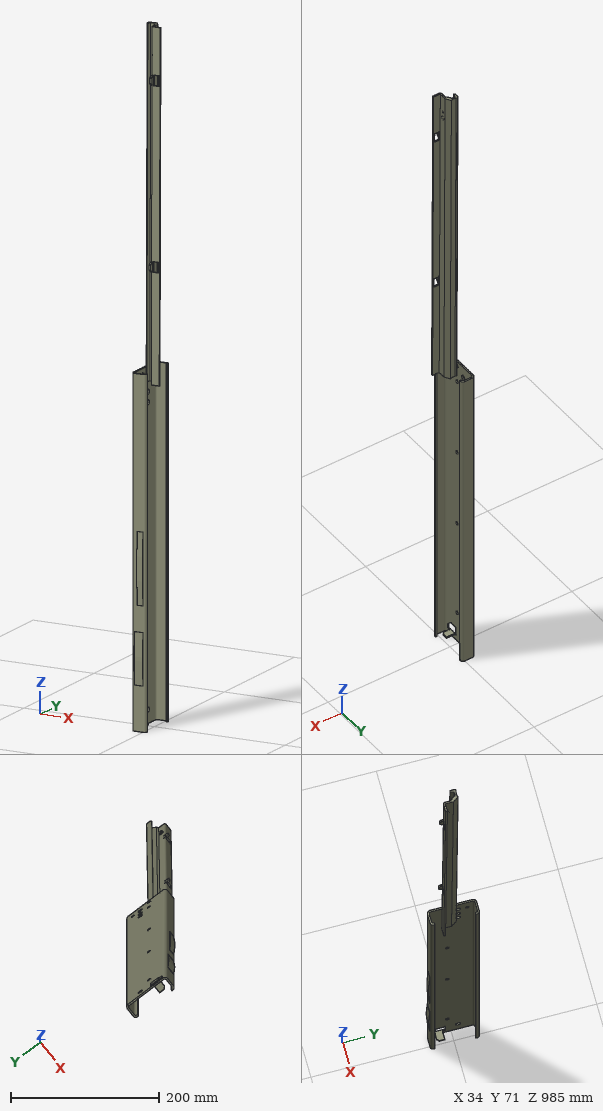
import cadquery as cq
import math

total_length = 985.0
member_length = 501.0
sheet = 2.5

channel_width = 69.0
channel_depth = 22.0
channel_bend = 5.0
lip_length = 6.0
lip_round = 4.0
inner_round = 3.0

hole_diameter = 7.0
hole_y = 43.0
hole_heights = [20.0, 450.0, 465.0, 483.0]
pilot_diameter = 5.0
pilot_y = 29.0
pilot_heights = [50.0, 211.0, 338.0, 465.0, 492.5]
side_pilot = (56.0, 482.0)

window_y = 6.0
window_z = 8.0
window_width = 20.0
window_height = 14.0
window_chamfer = 8.0
tab_y = 11.0
tab_width = 11.0
tab_reach = 15.0
tab_corner = 3.0
tab_bend = 2.0

ramp_step = 0.5
ramp_rise = 1.5
ramp_length = 34.0
long_ramp_foot = 177.0
long_ramp_flat = 34.0
long_ramp_x = 9.0
short_ramp_foot = 65.0
short_ramp_flat = 6.0

rail_tilt = 0.3
rail_foot_y = 15.0
rail_height = 22.0
rail_tip_x = 7.0
rail_web_x = 24.0
rail_edge_x = 34.0
rail_sheet = 2.5
head_height = 9.0
rail_bend = 3.0
head_round = 2.0
groove_depth = 1.0
groove_floor_width = 5.0
groove_side = 1.5
shoulder_x = 19.0
shoulder_drop = 8.0

hook_heights = [649.0, 910.0]
hook_window_height = 15.0
hook_window_width = 8.0
hook_window_gap = 1.0
hook_height = 13.0
hook_reach = 5.0
hook_chamfer = 3.0

dimple_depth = 1.0
dimple_y = 7.0
dimples = [(945.0, 6.0), (955.0, 3.0)]


def block(x, y, z, size_x, size_y, size_z):
    """Box whose lowest corner lies at (x, y, z)."""
    return cq.Workplane("XY").box(size_x, size_y, size_z, centered=False).translate((x, y, z))


def channel_section():
    """C-shaped sheet section with two lips turned inwards."""
    solid = block(0, 0, 0, channel_depth, channel_width, member_length)
    solid = solid.edges("|Z and <X").fillet(channel_bend)
    solid = solid.edges("|Z and >X").fillet(lip_round)
    inner_width = channel_width - 2 * sheet
    inner_depth = channel_depth - 2 * sheet
    cavity = block(sheet, sheet, 0, inner_depth, inner_width, member_length)
    cavity = cavity.edges("|Z").fillet(inner_round)
    mouth_width = channel_width - 2 * lip_length
    mouth = block(channel_depth / 2, lip_length, 0, channel_depth, mouth_width, member_length)
    return solid.cut(cavity).cut(mouth)


def web_holes(centres, diameter):
    """Cutters through the channel web along X."""
    return (
        cq.Workplane("YZ").pushPoints(centres).circle(diameter / 2).extrude(2 * sheet)
        .translate((-sheet / 2, 0, 0))
    )


def stop_window():
    """Window cutter with one bevelled corner and a rounded lower edge where the tab bends in."""
    window = block(-sheet, window_y, window_z, 3 * sheet, window_width, window_height)
    window = window.edges("|X and >Z and <Y").chamfer(window_chamfer)
    bend = block(0, window_y, window_z - tab_bend, tab_bend, window_width, tab_bend)
    roll = cq.Workplane("XZ").center(tab_bend, window_z - tab_bend).circle(tab_bend)
    roll = roll.extrude(-channel_width)
    return window.union(bend.cut(roll))


def stop_tab():
    """Tab standing in from the window's lower edge."""
    tab = block(0, tab_y, window_z - sheet, tab_reach, tab_width, sheet)
    return tab.edges("|Z and >X and <Y").chamfer(tab_corner)


def flange_ramp(foot, flat, x_start, x_end):
    """Pad on the -Y flange: a small step, a ramp up, a flat crest and a ramp down along Z."""
    embed = sheet / 2
    top = foot + 2 * ramp_length + flat
    crest = -ramp_step - ramp_rise
    outline = [
        (embed, foot),
        (-ramp_step, foot),
        (crest, foot + ramp_length),
        (crest, foot + ramp_length + flat),
        (-ramp_step, top),
        (embed, top),
    ]
    ramp = cq.Workplane("YZ").polyline(outline).close().extrude(x_end - x_start)
    return ramp.translate((x_start, 0, 0))


def make_channel():
    """Outer channel with its holes, stop and flange ramps."""
    flat_end = channel_depth - lip_round
    channel = channel_section()
    channel = channel.cut(web_holes([(hole_y, z) for z in hole_heights], hole_diameter))
    pilots = [(pilot_y, z) for z in pilot_heights] + [side_pilot]
    channel = channel.cut(web_holes(pilots, pilot_diameter))
    channel = channel.union(stop_tab()).cut(stop_window())
    channel = channel.union(flange_ramp(long_ramp_foot, long_ramp_flat, long_ramp_x, flat_end))
    return channel.union(flange_ramp(short_ramp_foot, short_ramp_flat, channel_bend, flat_end))


def rail_section():
    """Rail sheet: flange at the foot, upright web and a grooved head reaching towards -X."""
    web_inner = rail_web_x - rail_sheet
    arc_inset = head_round * (1 - math.sqrt(0.5))
    head_foot = rail_height - head_height
    head_left = rail_tip_x + head_round
    groove_left = head_left + groove_side
    groove_right = groove_left + groove_floor_width
    groove_floor = rail_height - groove_depth
    groove_roof = groove_floor - rail_sheet
    section = (
        cq.Workplane("XY")
        .moveTo(web_inner, 0)
        .lineTo(rail_edge_x, 0)
        .lineTo(rail_edge_x, rail_sheet)
        .lineTo(rail_web_x, rail_sheet)
        .lineTo(rail_web_x, rail_height - shoulder_drop)
        .lineTo(shoulder_x, rail_height)
        .lineTo(groove_right, groove_floor)
        .lineTo(groove_left, groove_floor)
        .lineTo(head_left, rail_height)
        .threePointArc(
            (rail_tip_x + arc_inset, rail_height - arc_inset), (rail_tip_x, rail_height - head_round)
        )
        .lineTo(rail_tip_x, head_foot + head_round)
        .threePointArc((rail_tip_x + arc_inset, head_foot + arc_inset), (head_left, head_foot))
        .lineTo(groove_left, groove_roof)
        .lineTo(groove_right, groove_roof)
        .lineTo(shoulder_x, head_foot)
        .lineTo(web_inner, head_foot - head_round)
        .close()
        .extrude(member_length)
    )
    return section.edges("|Z").edges("<Y").edges("<X").fillet(rail_bend)


def add_hook(rail, height):
    """Open the flange at one hook and add the hook below the web."""
    window = block(
        rail_web_x + hook_window_gap, -rail_sheet, height - hook_window_height / 2,
        hook_window_width, 3 * rail_sheet, hook_window_height,
    )
    hook = block(
        rail_web_x - rail_sheet, -hook_reach, height - hook_height / 2,
        rail_sheet, hook_reach + rail_bend, hook_height,
    )
    hook = hook.edges("|X and <Y").chamfer(hook_chamfer)
    return rail.cut(window).union(hook)


def make_rail():
    """Inner rail with its hooks and dimples, leaning in its slid-out position."""
    rail_base = total_length - member_length
    rail = rail_section()
    for height in hook_heights:
        rail = add_hook(rail, height - rail_base)
    for height, diameter in dimples:
        dimple = cq.Workplane("YZ").center(dimple_y, height - rail_base).circle(diameter / 2)
        dimple = dimple.extrude(dimple_depth).translate((rail_web_x - rail_sheet, 0, 0))
        rail = rail.cut(dimple)
    rail = rail.rotate((0, 0, 0), (1, 0, 0), -rail_tilt)
    return rail.translate((0, rail_foot_y, rail_base))


channel = make_channel()
rail = make_rail()
result = cq.Compound.makeCompound([channel.val(), rail.val()])